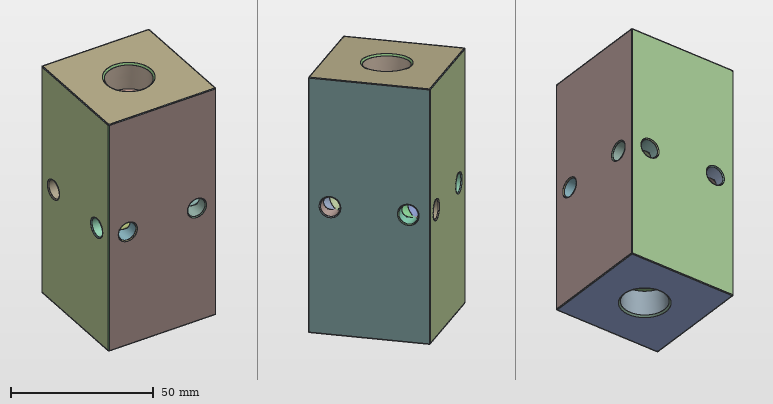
import cadquery as cq

height = 95.25
width = 44.5
edge_break = 0.3

passage_diameter = 12.8
port_mouth_diameter = 18.5
port_chamfer = 0.7
port_depth = 10.5
port_taper = 1 / 16

hole_diameter = 7.1
hole_chamfer = 0.4
hole_spacing = 28.6


def revolve_about_z(half_profile):
    """Solid of revolution from (radius, z) points."""
    return cq.Workplane("XZ").polyline(half_profile).close().revolve(360, (0, 0), (0, 1))


def tapered_port():
    """Void of the upper port: chamfered mouth, conical wall and flat floor."""
    top = height / 2
    mouth_radius = port_mouth_diameter / 2
    throat_radius = mouth_radius - port_chamfer
    floor_radius = throat_radius - port_taper * (port_depth - port_chamfer) / 2
    return revolve_about_z([
        (0, top),
        (mouth_radius, top),
        (throat_radius, top - port_chamfer),
        (floor_radius, top - port_depth),
        (0, top - port_depth),
    ])


def cross_hole():
    """Void of a hole along Z, as long as the block is wide, chamfered at both ends."""
    end = width / 2
    radius = hole_diameter / 2
    mouth_radius = radius + hole_chamfer
    return revolve_about_z([
        (0, -end),
        (mouth_radius, -end),
        (radius, -end + hole_chamfer),
        (radius, end - hole_chamfer),
        (mouth_radius, end),
        (0, end),
    ])


result = cq.Workplane("XY").box(width, width, height).edges().chamfer(edge_break)

passage = cq.Workplane("XY").circle(passage_diameter / 2).extrude(height / 2, both=True)
upper_port = tapered_port()
lower_port = upper_port.mirror("XY")
result = result.cut(passage).cut(upper_port).cut(lower_port)

hole_along_x = cross_hole().rotate((0, 0, 0), (0, 1, 0), 90)
hole_along_y = cross_hole().rotate((0, 0, 0), (1, 0, 0), 90)
for offset in (-hole_spacing / 2, hole_spacing / 2):
    result = result.cut(hole_along_x.translate((0, offset, 0)))
    result = result.cut(hole_along_y.translate((offset, 0, 0)))